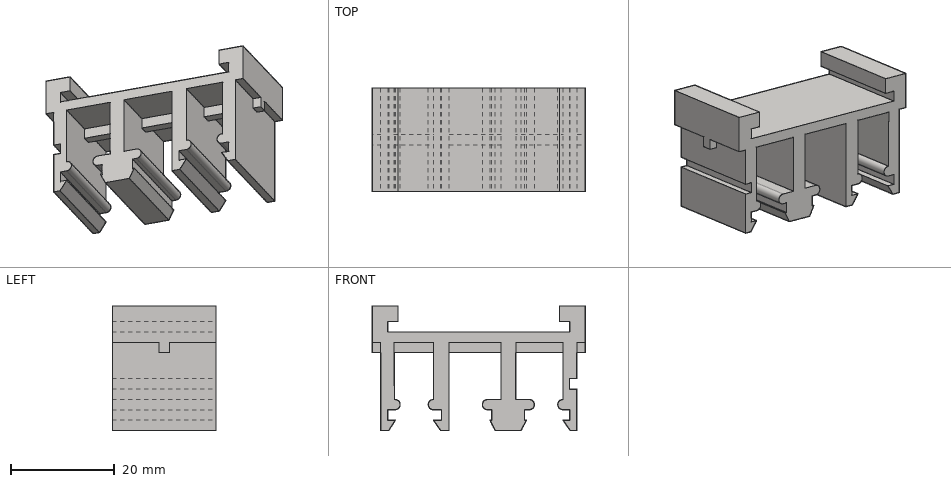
import cadquery as cq

length = 41.0
width = 20.0
height = 24.0

step = height / 12
neck_bottom = step
bead_bottom = 2 * step
bead_top = 3 * step
notch_bottom = 4 * step
rib_bottom = 7.5 * step
plate_bottom = rib_bottom + step
plate_top = plate_bottom + step
lip_bottom = plate_top + step

rail_web = 3.0
rail_lip = 5.0

rib_width = step

end_inset = 1.6
bead_radius = step / 2

left_face_top = 4.22
left_face_foot = 4.3
left_bead_center = 4.4
left_barb = 4.45
left_toe = 3.2

inner_face = 11.75
inner_back = 14.8
inner_neck = 13.32
inner_toe = 13.15

middle_center = 26.2
middle_foot_center = 26.15
middle_half_thickness = 1.45
middle_half_bead = 4.0
middle_half_neck = 3.15
middle_half_barb = 3.53
middle_half_toe = 2.5

right_face = 36.7
right_toe = 38.1


def prism(outline):
    """Extrude an XZ outline over the full width, centred on Y."""
    return outline.close().extrude(width / 2, both=True)


def bead(back, center):
    """Bead from the back of a leg to a half-round nose about the given centre."""
    outward = 1 if center > back else -1
    nose_tip = (center + outward * bead_radius, bead_bottom + bead_radius)
    outline = (
        cq.Workplane("XZ")
        .moveTo(back, bead_top)
        .lineTo(center, bead_top)
        .threePointArc(nose_tip, (center, bead_bottom))
        .lineTo(back, bead_bottom)
    )
    return prism(outline)


def leg(back, face_top, face_foot, bead_center, neck, barb, toe):
    """Leg with a flat back; its other face carries a bead, a neck and a barbed foot."""
    outline = (
        cq.Workplane("XZ")
        .moveTo(back, 0)
        .lineTo(back, plate_top)
        .lineTo(face_top, plate_top)
        .lineTo(face_top, plate_bottom)
        .lineTo(face_foot, bead_top)
        .lineTo(face_foot, bead_bottom)
        .lineTo(neck, bead_bottom)
        .lineTo(neck, neck_bottom)
        .lineTo(barb, neck_bottom)
        .lineTo(toe, 0)
    )
    return prism(outline).union(bead(back, bead_center))


def middle_leg_half(side):
    """Half of the double-sided leg; side is -1 for the left half and 1 for the right."""
    face = middle_center + side * middle_half_thickness
    return leg(
        back=middle_center,
        face_top=face,
        face_foot=face,
        bead_center=middle_center + side * middle_half_bead,
        neck=middle_foot_center + side * middle_half_neck,
        barb=middle_foot_center + side * middle_half_barb,
        toe=middle_foot_center + side * middle_half_toe,
    )


def box(x_start, x_end, y_size, z_start, z_end):
    """Box between two X and two Z positions, centred on Y."""
    return (
        cq.Workplane("XY", origin=(x_start, 0, z_start))
        .rect(x_end - x_start, y_size, centered=(False, True))
        .extrude(z_end - z_start)
    )


carrier = prism(
    cq.Workplane("XZ")
    .moveTo(0, plate_bottom)
    .lineTo(0, height)
    .lineTo(rail_lip, height)
    .lineTo(rail_lip, lip_bottom)
    .lineTo(rail_web, lip_bottom)
    .lineTo(rail_web, plate_top)
    .lineTo(length - rail_web, plate_top)
    .lineTo(length - rail_web, lip_bottom)
    .lineTo(length - rail_lip, lip_bottom)
    .lineTo(length - rail_lip, height)
    .lineTo(length, height)
    .lineTo(length, plate_bottom)
)

rib = box(0, length, rib_width, rib_bottom, plate_bottom)

left_leg = leg(
    back=end_inset,
    face_top=left_face_top,
    face_foot=left_face_foot,
    bead_center=left_bead_center,
    neck=rail_web,
    barb=left_barb,
    toe=left_toe,
)

inner_leg = leg(
    back=inner_back,
    face_top=inner_face,
    face_foot=inner_face,
    bead_center=inner_face,
    neck=inner_neck,
    barb=inner_face,
    toe=inner_toe,
)

middle_leg = middle_leg_half(-1).union(middle_leg_half(1))

right_leg = leg(
    back=length - end_inset,
    face_top=right_face,
    face_foot=right_face,
    bead_center=right_face,
    neck=length - rail_web,
    barb=right_face,
    toe=right_toe,
)

notch = box(length - rail_web, length - end_inset, width, notch_bottom, notch_bottom + step)

result = carrier.union(rib)
for part in (left_leg, inner_leg, middle_leg, right_leg.cut(notch)):
    result = result.union(part)
result = result.clean()